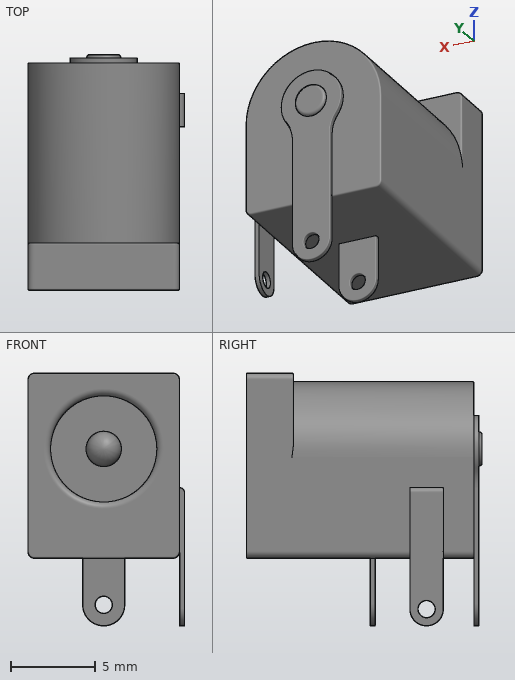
import cadquery as cq
import math


overall_height = 15.0
full_round = 0.99
embed = 0.3

body_width = 9.0
body_length = 13.5
flange_height = 11.0
flange_length = 2.8
barrel_drop = 0.5
corner_radius = 0.4
edge_radius = 0.1
barrel_radius = body_width / 2
barrel_axis_z = flange_height - barrel_drop - barrel_radius

bore_axis_z = flange_height - body_width / 2
bore_diameter = 6.3
bore_lip_radius = 0.4
bore_depth = 9.0
pin_diameter = 2.1
pin_recess = 1.0

sheet = 0.3
sheet_edge_radius = 0.05
terminal_drop = overall_height - flange_height
terminal_hole_diameter = 1.0
wide_terminal_width = 2.5
side_terminal_width = 2.0
middle_terminal_y = 7.5
side_terminal_y = 10.7
side_terminal_top = 4.2
side_bend_radius = full_round * sheet

rear_head_radius = 2.0
rear_neck_radius = 2.0
rivet_diameter = 2.04
rivet_height = 0.2
rivet_edge_radius = full_round * rivet_height


def make_housing():
    """Round-topped barrel with a rectangular flange at the mating end."""
    barrel = (
        cq.Workplane("XZ")
        .moveTo(-barrel_radius, 0)
        .lineTo(barrel_radius, 0)
        .lineTo(barrel_radius, barrel_axis_z)
        .threePointArc((0, barrel_axis_z + barrel_radius), (-barrel_radius, barrel_axis_z))
        .close()
        .extrude(-body_length)
    )
    flange = cq.Workplane("XY").box(body_width, flange_length, flange_height, centered=(True, False, False))
    flange = flange.edges("|Y and >Z").fillet(corner_radius)
    flange = flange.faces(">Y").edges("not <Z").fillet(edge_radius)
    housing = flange.union(barrel)
    housing = housing.edges("|Y and <Z").fillet(corner_radius)
    housing = housing.faces("<Y").edges().fillet(edge_radius)
    return housing.faces(">Y").edges().fillet(edge_radius)


def cut_bore(housing):
    """Blind bore with a rounded lip at its mouth."""
    mouth_radius = bore_diameter / 2 + bore_lip_radius
    lip_middle = bore_lip_radius * (1 - math.sqrt(0.5))
    bore = (
        cq.Workplane("XY")
        .lineTo(mouth_radius, 0)
        .threePointArc((bore_diameter / 2 + lip_middle, lip_middle), (bore_diameter / 2, bore_lip_radius))
        .lineTo(bore_diameter / 2, bore_depth)
        .lineTo(0, bore_depth)
        .close()
        .revolve(360, (0, 0, 0), (0, 1, 0))
        .translate((0, 0, bore_axis_z))
    )
    return housing.cut(bore)


def make_centre_pin():
    """Round pin with a hemispherical tip, standing on the floor of the bore."""
    radius = pin_diameter / 2
    length = bore_depth - pin_recess + embed
    pin = cq.Workplane("XZ", origin=(0, pin_recess, bore_axis_z)).circle(radius).extrude(-length)
    return pin.faces("<Y").edges().fillet(full_round * radius)


def make_terminal(width, top):
    """Flat terminal in the XZ plane, centred on Y = 0, with a rounded, pierced foot."""
    radius = width / 2
    foot_z = radius - terminal_drop
    plate = (
        cq.Workplane("XZ", origin=(0, -sheet / 2, 0))
        .moveTo(-radius, top)
        .lineTo(-radius, foot_z)
        .threePointArc((0, -terminal_drop), (radius, foot_z))
        .lineTo(radius, top)
        .close()
        .extrude(-sheet)
    )
    hole = (
        cq.Workplane("XZ", origin=(0, -sheet / 2, foot_z))
        .circle(terminal_hole_diameter / 2)
        .extrude(-sheet)
    )
    return plate.cut(hole)


def make_side_terminal():
    """Terminal lying flat on the +X wall, its top outer edge rounded."""
    terminal = make_terminal(side_terminal_width, side_terminal_top)
    terminal = terminal.faces(">Z").edges("<Y").fillet(side_bend_radius)
    terminal = terminal.faces("<Y").edges().fillet(sheet_edge_radius)
    terminal = terminal.rotate((0, 0, 0), (0, 0, 1), 90)
    return terminal.translate(((body_width + sheet) / 2, side_terminal_y, 0))


def make_middle_terminal():
    """Terminal under the housing, rounded along the edges of both faces."""
    terminal = make_terminal(wide_terminal_width, embed)
    terminal = terminal.faces("<Y or >Y").edges().fillet(sheet_edge_radius)
    return terminal.translate((0, middle_terminal_y, 0))


def make_rear_terminal():
    """Terminal on the rear wall whose round head blends into the leg through concave arcs."""
    leg = wide_terminal_width / 2
    neck_x = leg + rear_neck_radius
    centre_distance = rear_head_radius + rear_neck_radius
    neck_drop = math.sqrt(centre_distance**2 - neck_x**2)
    neck_z = bore_axis_z - neck_drop
    head_share = rear_head_radius / centre_distance
    tangent_x = neck_x * head_share
    tangent_z = bore_axis_z - neck_drop * head_share
    half_angle = math.atan2(neck_drop, neck_x) / 2
    middle_x = neck_x - rear_neck_radius * math.cos(half_angle)
    middle_z = neck_z + rear_neck_radius * math.sin(half_angle)
    head = (
        cq.Workplane("XZ", origin=(0, -sheet / 2, 0))
        .moveTo(-leg, neck_z)
        .lineTo(leg, neck_z)
        .threePointArc((middle_x, middle_z), (tangent_x, tangent_z))
        .threePointArc((0, bore_axis_z + rear_head_radius), (-tangent_x, tangent_z))
        .threePointArc((-middle_x, middle_z), (-leg, neck_z))
        .close()
        .extrude(-sheet)
    )
    terminal = make_terminal(wide_terminal_width, neck_z).union(head)
    terminal = terminal.faces(">Y").edges().fillet(sheet_edge_radius)
    return terminal.translate((0, body_length + sheet / 2, 0))


def make_rivet():
    """Flattened round end of the centre pin on the rear terminal."""
    origin = (0, body_length + sheet, bore_axis_z)
    rivet = cq.Workplane("XZ", origin=origin).circle(rivet_diameter / 2).extrude(-rivet_height)
    return rivet.faces(">Y").edges().fillet(rivet_edge_radius)


result = cut_bore(make_housing())
result = result.union(make_centre_pin())
result = result.union(make_middle_terminal())
result = result.union(make_side_terminal())
result = result.union(make_rear_terminal())
result = result.union(make_rivet())